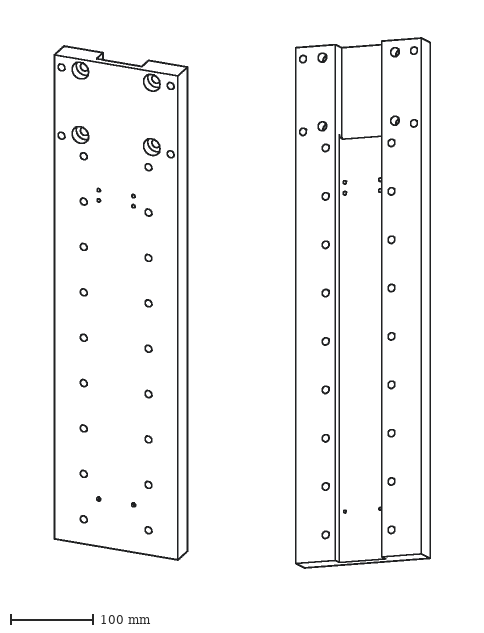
import cadquery as cq

WIDTH = 164.0
THICKNESS = 30.0
LENGTH = 640.0
FRONT_Y = -THICKNESS / 2
BACK_Y = THICKNESS / 2
TOP_Z = LENGTH / 2
BOTTOM_Z = -LENGTH / 2

CHANNEL_WIDTH = 60.0
CHANNEL_DEPTH = 13.5
POCKET_DEPTH = 20.5
POCKET_LENGTH = 115.0
POCKET_CORNER_RADIUS = 6.0

BOLT_DIAMETER = 11.0
COUNTERBORE_DIAMETER = 22.0
COUNTERBORE_DEPTH = 13.0
BOLT_X = 47.5
COUNTERBORE_MARGIN = 4.1
BOLT_SPACING = 85.0
FIRST_DROP = COUNTERBORE_MARGIN + COUNTERBORE_DIAMETER / 2
BOLT_DROPS = (FIRST_DROP, FIRST_DROP + BOLT_SPACING)

DOWEL_DIAMETER = 9.0
DOWEL_X = 72.0
DOWEL_SPACING = 90.0
DOWEL_DROPS = (FIRST_DROP, FIRST_DROP + DOWEL_SPACING)

MOUNT_DIAMETER = 9.0
MOUNT_X = 43.0
MOUNT_COUNT = 9
MOUNT_TOP_DROP = 127.5
MOUNT_BOTTOM_RISE = 32.5
MOUNT_PITCH = (LENGTH - MOUNT_TOP_DROP - MOUNT_BOTTOM_RISE) / (MOUNT_COUNT - 1)

UPPER_SMALL_DIAMETER = 4.2
LOWER_SMALL_DIAMETER = 3.3
LOWER_COUNTERBORE_DIAMETER = 5.0
LOWER_COUNTERBORE_DEPTH = 5.0
SMALL_X = 23.0
UPPER_SMALL_DROPS = (169.0, 182.5)
LOWER_SMALL_RISE = 63.0


def hole_pairs(diameter, x_offset, heights, depth):
    """Cylinders sunk from the front face, mirrored about X = 0 at each height."""
    points = [(side * x_offset, z) for z in heights for side in (-1, 1)]
    front_plane = cq.Workplane("XZ", origin=(0, FRONT_Y, 0))
    return front_plane.pushPoints(points).circle(diameter / 2).extrude(-depth)


def below_top(drops):
    """Z heights for distances measured down from the top end."""
    return [TOP_Z - drop for drop in drops]


def back_channel():
    """Shallow channel running the full length of the back face."""
    return cq.Workplane("XY").box(CHANNEL_WIDTH, CHANNEL_DEPTH, LENGTH).translate(
        (0, BACK_Y - CHANNEL_DEPTH / 2, 0)
    )


def end_pocket():
    """Deeper stretch of the channel, open at the top, with rounded lower corners."""
    block = cq.Workplane("XY").box(CHANNEL_WIDTH, POCKET_DEPTH, POCKET_LENGTH)
    block = block.edges("|Y and <Z").fillet(POCKET_CORNER_RADIUS)
    return block.translate((0, BACK_Y - POCKET_DEPTH / 2, TOP_Z - POCKET_LENGTH / 2))


plate = cq.Workplane("XY").box(WIDTH, THICKNESS, LENGTH)
plate = plate.cut(back_channel()).cut(end_pocket())

bolt_heights = below_top(BOLT_DROPS)
plate = plate.cut(hole_pairs(BOLT_DIAMETER, BOLT_X, bolt_heights, THICKNESS))
plate = plate.cut(hole_pairs(COUNTERBORE_DIAMETER, BOLT_X, bolt_heights, COUNTERBORE_DEPTH))

plate = plate.cut(hole_pairs(DOWEL_DIAMETER, DOWEL_X, below_top(DOWEL_DROPS), THICKNESS))

mount_heights = [BOTTOM_Z + MOUNT_BOTTOM_RISE + i * MOUNT_PITCH for i in range(MOUNT_COUNT)]
plate = plate.cut(hole_pairs(MOUNT_DIAMETER, MOUNT_X, mount_heights, THICKNESS))

upper_small_heights = below_top(UPPER_SMALL_DROPS)
plate = plate.cut(hole_pairs(UPPER_SMALL_DIAMETER, SMALL_X, upper_small_heights, THICKNESS))

lower_small_heights = [BOTTOM_Z + LOWER_SMALL_RISE]
plate = plate.cut(hole_pairs(LOWER_SMALL_DIAMETER, SMALL_X, lower_small_heights, THICKNESS))
plate = plate.cut(
    hole_pairs(LOWER_COUNTERBORE_DIAMETER, SMALL_X, lower_small_heights, LOWER_COUNTERBORE_DEPTH)
)

result = plate